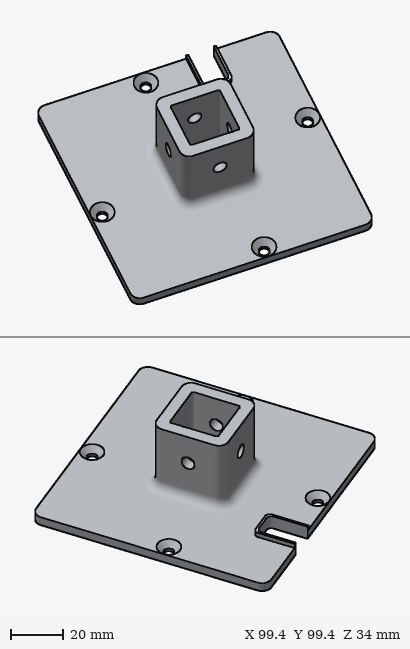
import cadquery as cq

plate_side = 99.4
plate_thickness = 4.0
plate_corner_radius = 4.0

total_height = 34.0
socket_side = 30.3
socket_corner_radius = 4.0
socket_base_fillet = 4.0
bore_side = 20.4
bore_corner_radius = 0.8
cross_hole_diameter = 5.5
cross_hole_height = 21.1

screw_hole_diameter = 4.3
countersink_diameter = 9.4
countersink_angle = 90.0
screw_edge_distance = 4.9
screw_side_offset = 6.0

slot_center_y = 18.8
slot_width = 10.4
slot_depth = 16.4
slot_corner_radius = 2.0
rim_wall = 1.0
rim_rise = 2.0

plate_half = plate_side / 2
socket_height = total_height - plate_thickness
rim_height = plate_thickness + rim_rise


def rounded_block(length, width, height, corner_radius):
    """Upright block on Z = 0 with its four vertical edges rounded."""
    block = cq.Workplane("XY").box(length, width, height, centered=(True, True, False))
    return block.edges("|Z").fillet(corner_radius)


def slot_block(depth, width):
    """Block reaching in from the -X side, rounded only at its inner end."""
    block = cq.Workplane("XY").box(depth, width, rim_height, centered=(False, True, False))
    block = block.edges("|Z and >X").fillet(slot_corner_radius)
    return block.translate((-plate_half, slot_center_y, 0))


body = rounded_block(plate_side, plate_side, plate_thickness, plate_corner_radius)
socket = rounded_block(socket_side, socket_side, socket_height, socket_corner_radius)
body = body.union(socket.translate((0, 0, plate_thickness)))
socket_reach = socket_side / 2 + socket_base_fillet
selection_margin = 0.1
foot_edges = cq.selectors.BoxSelector(
    (-socket_reach, -socket_reach, plate_thickness - selection_margin),
    (socket_reach, socket_reach, plate_thickness + selection_margin),
)
body = body.edges(foot_edges).fillet(socket_base_fillet)

bore = rounded_block(bore_side, bore_side, socket_height, bore_corner_radius)
body = body.cut(bore.translate((0, 0, plate_thickness)))

for plane in ("YZ", "XZ"):
    cross_hole = (
        cq.Workplane(plane)
        .center(0, cross_hole_height)
        .circle(cross_hole_diameter / 2)
        .extrude(socket_side, both=True)
    )
    body = body.cut(cross_hole)

rim = slot_block(slot_depth + rim_wall, slot_width + 2 * rim_wall)
body = body.union(rim).cut(slot_block(slot_depth, slot_width))

screw_reach = plate_half - screw_edge_distance
screw_points = [
    (screw_reach, screw_side_offset),
    (-screw_side_offset, screw_reach),
    (-screw_reach, -screw_side_offset),
    (screw_side_offset, -screw_reach),
]
result = (
    body.copyWorkplane(cq.Workplane("XY", origin=(0, 0, plate_thickness)))
    .pushPoints(screw_points)
    .cskHole(screw_hole_diameter, countersink_diameter, countersink_angle, depth=plate_thickness)
)